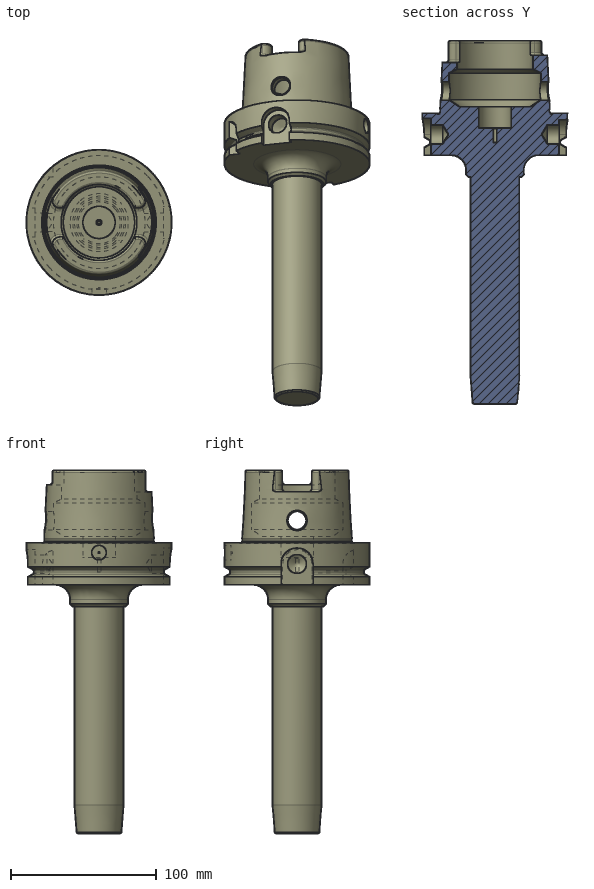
import cadquery as cq
import math


shank_length = 49.9
shank_base_radius = 38.0
shank_slope = 0.05
rim_round = 1.5

relief_top_z = 3.2
relief_wall_top_z = 2.4
relief_wall_bottom_z = 0.9
relief_radius = 37.7
relief_foot_radius = 38.5
relief_face_radius = 39.4
relief_face_depth = 0.4

flange_radius = 50.0
flange_thickness = 29.0
groove_z = -20.0
groove_floor_radius = 46.1
groove_floor_width = 2.6
groove_corner_round = 0.9
groove_flank_angle = 30.0

neck_radius = 20.0
neck_blend_radius = 10.0
neck_end_z = -43.9
neck_chamfer = 1.8
arbor_radius = 17.0
nose_top_z = -180.0
nose_tip_z = -200.0
nose_tip_radius = 15.4
nose_chamfer = 1.0

bore_radius = 26.1
undercut_top_z = 30.2
undercut_ramp = 2.7
undercut_radius = 31.5
undercut_bottom_z = 9.2
bore_floor_radius = 24.5
bore_floor_z = 4.6
tube_bore_radius = 11.1
tube_bore_floor_z = -10.0
centre_hole_radius = 1.1
centre_hole_depth = 10.0
centre_hole_chamfer = 0.8

notch_width = 20.0
notch_depth_minus_x = 10.0
notch_depth_plus_x = 15.0
lug_flat_x = 32.0
lug_round = 5.0
notch_floor_fillet = 2.0

cross_hole_radius = 6.25
cross_hole_chamfer = 0.7
cross_hole_z = 15.3

keyway_arc_z = -14.6
keyway_floor_x = 44.0
keyway_width_minus_x = 20.0
keyway_width_plus_x = 22.0
keyway_hole_radius = 6.5
keyway_hole_depth = 8.0
drill_tip_half_angle = 59.0
index_notch_floor_x = 31.8
index_notch_side_y = 31.3
index_notch_arc_radius = 10.0

pocket_radius = 5.0
pocket_depth = 4.6
pocket_z = -6.8
pocket_centre_radius = 0.5
pocket_centre_depth = 1.0


def shank_radius(z):
    """Outer radius of the tapered shank at height z."""
    return shank_base_radius - shank_slope * z


def make_body():
    """Solid of revolution carrying every outside diameter."""
    groove_depth = flange_radius - groove_floor_radius
    floor_half = groove_floor_width / 2
    mouth_half = floor_half + groove_depth * math.tan(math.radians(groove_flank_angle))
    blend_mid = neck_blend_radius * math.sqrt(0.5)
    blend_x = neck_radius + neck_blend_radius
    blend_z = -flange_thickness - neck_blend_radius
    nose_slope = (arbor_radius - nose_tip_radius) / (nose_top_z - nose_tip_z)

    profile = (
        cq.Workplane("XZ")
        .moveTo(0, shank_length)
        .lineTo(shank_radius(shank_length), shank_length)
        .lineTo(shank_radius(relief_top_z), relief_top_z)
        .lineTo(relief_radius, relief_wall_top_z)
        .lineTo(relief_radius, relief_wall_bottom_z)
        .lineTo(relief_foot_radius, -relief_face_depth)
        .lineTo(relief_face_radius, -relief_face_depth)
        .lineTo(relief_face_radius, 0)
        .lineTo(flange_radius, 0)
        .lineTo(flange_radius, groove_z + mouth_half)
        .lineTo(groove_floor_radius, groove_z + floor_half)
        .lineTo(groove_floor_radius, groove_z - floor_half)
        .lineTo(flange_radius, groove_z - mouth_half)
        .lineTo(flange_radius, -flange_thickness)
        .lineTo(blend_x, -flange_thickness)
        .threePointArc(
            (blend_x - blend_mid, blend_z + blend_mid),
            (neck_radius, blend_z),
        )
        .lineTo(neck_radius, neck_end_z + neck_chamfer)
        .lineTo(neck_radius - neck_chamfer, neck_end_z)
        .lineTo(arbor_radius, neck_end_z)
        .lineTo(arbor_radius, nose_top_z)
        .lineTo(nose_tip_radius + nose_slope * nose_chamfer, nose_tip_z + nose_chamfer)
        .lineTo(nose_tip_radius - nose_chamfer, nose_tip_z)
        .lineTo(0, nose_tip_z)
        .close()
    )
    body = profile.revolve(360, (0, 0, 0), (0, 1, 0))
    band = groove_floor_radius + groove_depth / 2
    groove_corners = cq.selectors.BoxSelector(
        (-band, -band, groove_z - mouth_half / 2),
        (band, band, groove_z + mouth_half / 2),
        boundingbox=True,
    )
    return body.edges(groove_corners).edges("%CIRCLE").fillet(groove_corner_round)


def make_bore():
    """Undercut bore, coolant-tube bore and centre hole as one revolved cutter."""
    centre_mouth = centre_hole_radius + centre_hole_chamfer
    profile = (
        cq.Workplane("XZ")
        .moveTo(0, shank_length)
        .lineTo(bore_radius, shank_length)
        .lineTo(bore_radius, undercut_top_z)
        .lineTo(undercut_radius, undercut_top_z - undercut_ramp)
        .lineTo(undercut_radius, undercut_bottom_z)
        .lineTo(bore_floor_radius, bore_floor_z)
        .lineTo(tube_bore_radius, bore_floor_z)
        .lineTo(tube_bore_radius, tube_bore_floor_z)
        .lineTo(centre_mouth, tube_bore_floor_z)
        .lineTo(centre_hole_radius, tube_bore_floor_z - centre_hole_chamfer)
        .lineTo(centre_hole_radius, tube_bore_floor_z - centre_hole_depth)
        .lineTo(0, tube_bore_floor_z - centre_hole_depth)
        .close()
    )
    return profile.revolve(360, (0, 0, 0), (0, 1, 0))


def make_drive_notch(side, depth):
    """Rim notch on the side of the given X sign, widening around rounded lug ends."""
    half_width = notch_width / 2
    outer_x = flange_radius
    outer_half = flange_radius / 2
    round_mid = lug_round * (1 - math.sqrt(0.5))
    outline = (
        cq.Workplane("XY", origin=(0, 0, shank_length - depth))
        .moveTo(0, -half_width)
        .lineTo(side * (lug_flat_x - lug_round), -half_width)
        .threePointArc(
            (side * (lug_flat_x - round_mid), -half_width - round_mid),
            (side * lug_flat_x, -half_width - lug_round),
        )
        .lineTo(side * lug_flat_x, -outer_half)
        .lineTo(side * outer_x, -outer_half)
        .lineTo(side * outer_x, outer_half)
        .lineTo(side * lug_flat_x, outer_half)
        .lineTo(side * lug_flat_x, half_width + lug_round)
        .threePointArc(
            (side * (lug_flat_x - round_mid), half_width + round_mid),
            (side * (lug_flat_x - lug_round), half_width),
        )
        .lineTo(0, half_width)
        .close()
    )
    return outline.extrude(depth).faces("<Z").edges().fillet(notch_floor_fillet)


def make_arched_slot(floor_x, side, centre_y, half_width):
    """Round-topped slot open at the flange underside, cut in from the given X side."""
    length = flange_radius - floor_x
    bottom_z = -flange_thickness
    outline = (
        cq.Workplane("YZ", origin=(side * floor_x, 0, 0))
        .moveTo(centre_y - half_width, bottom_z)
        .lineTo(centre_y - half_width, keyway_arc_z)
        .threePointArc(
            (centre_y, keyway_arc_z + half_width),
            (centre_y + half_width, keyway_arc_z),
        )
        .lineTo(centre_y + half_width, bottom_z)
        .close()
    )
    return outline.extrude(side * length)


def make_keyway_hole(side):
    """Blind hole with a drill tip in the floor of a keyway."""
    tip_length = keyway_hole_radius / math.tan(math.radians(drill_tip_half_angle))
    wall_end_x = keyway_floor_x - keyway_hole_depth
    profile = (
        cq.Workplane("XZ", origin=(0, 0, keyway_arc_z))
        .moveTo(side * keyway_floor_x, 0)
        .lineTo(side * keyway_floor_x, keyway_hole_radius)
        .lineTo(side * wall_end_x, keyway_hole_radius)
        .lineTo(side * (wall_end_x - tip_length), 0)
        .close()
    )
    return profile.revolve(360, (0, 0, 0), (1, 0, 0))


def cut_cross_hole(body):
    """Drill along X through both shank walls and chamfer the outer rims."""
    drill = (
        cq.Workplane("YZ", origin=(-flange_radius, 0, cross_hole_z))
        .circle(cross_hole_radius)
        .extrude(2 * flange_radius)
    )
    drilled = body.cut(drill)
    rim_reach = cross_hole_radius + 2 * cross_hole_chamfer
    for side in (-1, 1):
        near_x, far_x = sorted((side * undercut_radius, side * flange_radius))
        rim = cq.selectors.BoxSelector(
            (near_x, -rim_reach, cross_hole_z - rim_reach),
            (far_x, rim_reach, cross_hole_z + rim_reach),
            boundingbox=True,
        )
        drilled = drilled.edges(rim).chamfer(cross_hole_chamfer)
    return drilled


def make_data_pocket():
    """Round flat-bottomed pocket with a small centre mark, cut in from -Y."""
    depth = pocket_depth + pocket_centre_depth
    start = cq.Workplane("XZ", origin=(0, -flange_radius, pocket_z))
    pocket = start.circle(pocket_radius).extrude(-pocket_depth)
    centre_mark = start.circle(pocket_centre_radius).extrude(-depth)
    return pocket.union(centre_mark)


result = make_body().cut(make_bore())
result = result.cut(make_drive_notch(-1, notch_depth_minus_x))
result = result.cut(make_drive_notch(1, notch_depth_plus_x))
result = result.faces(">Z").edges().fillet(rim_round)
result = cut_cross_hole(result)
for side, width in ((-1, keyway_width_minus_x), (1, keyway_width_plus_x)):
    result = result.cut(make_arched_slot(keyway_floor_x, side, 0, width / 2))
    result = result.cut(make_keyway_hole(side))
index_notch_centre_y = index_notch_side_y + index_notch_arc_radius
result = result.cut(
    make_arched_slot(index_notch_floor_x, -1, index_notch_centre_y, index_notch_arc_radius)
)
result = result.cut(make_data_pocket())